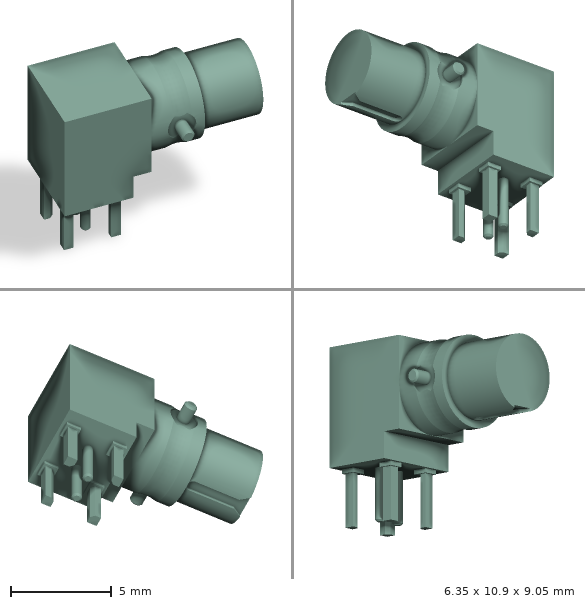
import cadquery as cq


housing_width = 4.72
housing_top_z = 2.4
housing_base_z = -3.7
housing_front_y = 4.68
foot_front_y = 3.69
leg_spacing = 2.54
leg_width = 0.52
leg_chamfer = 0.2
leg_tip_z = housing_top_z - 9.05
standoff_width = 0.77
standoff_height = 0.22

collar_radius = 2.35
collar_front_y = 7.57
nose_radius = 1.97
nose_front_y = 10.86
groove_center_y = 6.33
groove_width = 1.13
groove_depth = 0.09
keyway_width = 0.59
keyway_depth = 0.23
keyway_end_y = 7.65
mouth_width = 1.24
mouth_length = 0.5

lug_radius = 0.35
lug_span = 6.35
lug_chamfer = 0.09
seat_radius = 0.76
seat_x = 2.18

contact_spacing = leg_spacing / 2
contact_radius = 0.26
contact_tip_z = -6.42
contact_chamfer = 0.1

foot_center_y = foot_front_y / 2


def make_leg(angle):
    """Square leg on its standoff, with the edge nearest the foot centre chamfered."""
    corner = (leg_spacing / 2, foot_center_y + leg_spacing / 2, housing_base_z)
    standoff = (
        cq.Workplane("XY", origin=corner)
        .rect(standoff_width, standoff_width)
        .extrude(-standoff_height)
    )
    leg = (
        cq.Workplane("XY", origin=corner)
        .rect(leg_width, leg_width)
        .extrude(leg_tip_z - housing_base_z)
        .edges("|Z and <(1, 1, 0)")
        .chamfer(leg_chamfer)
    )
    return standoff.union(leg).rotate((0, foot_center_y, 0), (0, foot_center_y, 1), angle)


def make_housing():
    """L-shaped block with a leg near each corner of the foot."""
    step_z = -collar_radius
    housing = (
        cq.Workplane("YZ")
        .moveTo(0, housing_base_z)
        .lineTo(foot_front_y, housing_base_z)
        .lineTo(foot_front_y, step_z)
        .lineTo(housing_front_y, step_z)
        .lineTo(housing_front_y, housing_top_z)
        .lineTo(0, housing_top_z)
        .close()
        .extrude(housing_width / 2, both=True)
    )
    for angle in (0, 90, 180, 270):
        housing = housing.union(make_leg(angle))
    return housing


def make_keyway_cutter():
    """Slot with a round inner end, widening to a flared mouth at the nose tip."""
    half_width = keyway_width / 2
    half_mouth = mouth_width / 2
    round_center_y = keyway_end_y + half_width
    flare_y = nose_front_y - mouth_length
    return (
        cq.Workplane("XY", origin=(0, 0, -nose_radius))
        .moveTo(-half_width, round_center_y)
        .threePointArc((0, keyway_end_y), (half_width, round_center_y))
        .lineTo(half_width, flare_y)
        .lineTo(half_mouth, nose_front_y)
        .lineTo(-half_mouth, nose_front_y)
        .lineTo(-half_width, flare_y)
        .close()
        .extrude(keyway_depth)
    )


def cut_lug_seat(barrel, side):
    """Cut the flat round lug seat into one side of the collar."""
    seat = (
        cq.Workplane("YZ", origin=(side * seat_x, groove_center_y, 0))
        .circle(seat_radius)
        .extrude(side * (collar_radius - seat_x))
    )
    return barrel.cut(seat)


def make_barrel():
    """Turned collar and nose, with the arc groove, the keyway and the two lug seats."""
    barrel = (
        cq.Workplane("XY")
        .moveTo(0, housing_front_y)
        .lineTo(collar_radius, housing_front_y)
        .lineTo(collar_radius, groove_center_y - groove_width / 2)
        .threePointArc(
            (collar_radius - groove_depth, groove_center_y),
            (collar_radius, groove_center_y + groove_width / 2),
        )
        .lineTo(collar_radius, collar_front_y)
        .lineTo(nose_radius, collar_front_y)
        .lineTo(nose_radius, nose_front_y)
        .lineTo(0, nose_front_y)
        .close()
        .revolve(360, (0, 0, 0), (0, 1, 0))
    )
    barrel = barrel.cut(make_keyway_cutter())
    for side in (-1, 1):
        barrel = cut_lug_seat(barrel, side)
    return barrel


def make_lug(side):
    """Round bayonet lug with a chamfered outer end, standing on its seat."""
    outer_face = ">X" if side > 0 else "<X"
    return (
        cq.Workplane("YZ", origin=(side * seat_x, groove_center_y, 0))
        .circle(lug_radius)
        .extrude(side * (lug_span / 2 - seat_x))
        .faces(outer_face)
        .chamfer(lug_chamfer)
    )


def make_contact(side):
    """Round contact pin with a chamfered tip, hanging from the housing base."""
    return (
        cq.Workplane("XY", origin=(side * contact_spacing / 2, foot_center_y, housing_base_z))
        .circle(contact_radius)
        .extrude(contact_tip_z - housing_base_z)
        .faces("<Z")
        .chamfer(contact_chamfer)
    )


housing = make_housing()
barrel = make_barrel()
lugs = [make_lug(side) for side in (-1, 1)]
contacts = [make_contact(side) for side in (-1, 1)]

result = cq.Compound.makeCompound(
    [
        housing.val(),
        barrel.val(),
        *[lug.val() for lug in lugs],
        *[contact.val() for contact in contacts],
    ]
)